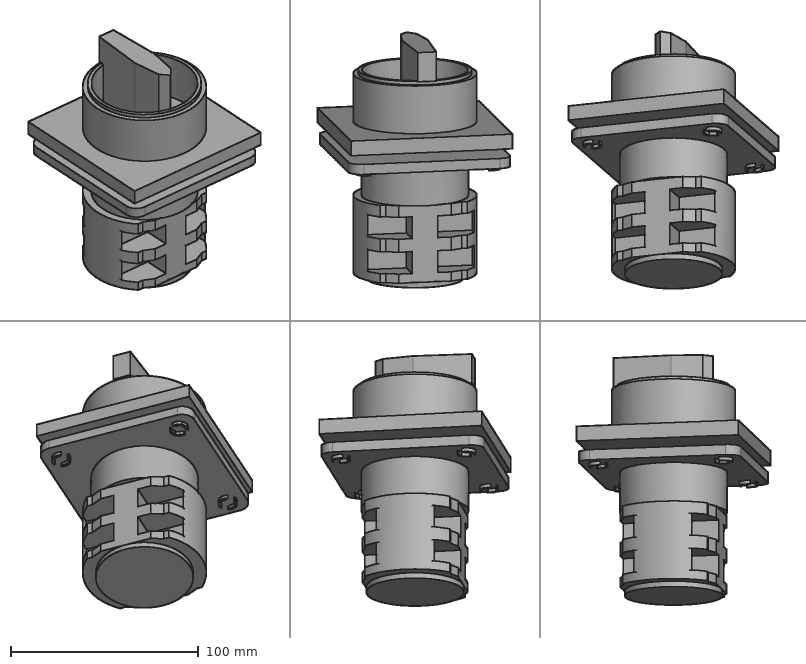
import cadquery as cq
import math


BASE_HEIGHT = 3.0
CONTACT_BLOCK_TOP = 45.2
MOUNT_PLATE_BOTTOM = 67.0
MOUNT_PLATE_TOP = 72.5
KNOB_PLATE_BOTTOM = 77.5
KNOB_PLATE_TOP = 85.5
COLLAR_TOP = 111.5
RIM_TOP = 113.5
HANDLE_TOP = 129.5

PLATE_SIDE = 88.0
MOUNT_CORNER_RADIUS = 7.0
NECK_RADIUS = 28.6
SHAFT_RADIUS = 6.5

BASE_RADIUS = 26.0
BLOCK_RADIUS = 33.0
FLAT_X = 26.0
FLAT_HALF_WIDTH = 14.4
SHOULDER_X = 23.0
SHOULDER_INNER_Y = 20.6
SHOULDER_OUTER_Y = math.sqrt(BLOCK_RADIUS ** 2 - SHOULDER_X ** 2)

WINDOW_INNER_X = 11.0
WINDOW_INNER_Y = 7.0
WINDOW_OUTER_Y = 29.0
WINDOW_HEIGHT = 11.9
WINDOW_PITCH = 19.0
LOWEST_WINDOW_Z = 8.0
WINDOW_ROWS = 2

SCREW_OFFSET = 34.0
SCREW_RADIUS = 5.0
SCREW_HEIGHT = 2.0
SCREW_HEX_DIAMETER = 8.5
SCREW_SLOT_WIDTH = 4.0

COLLAR_RADIUS = 33.0
RIM_RADIUS = 30.3
RECESS_RADIUS = 28.3
RECESS_DEPTH = 25.0
RECESS_FLOOR = RIM_TOP - RECESS_DEPTH
HANDLE_TAIL_X = -31.7
HANDLE_TAIL_HALF_WIDTH = 5.0
HANDLE_HALF_WIDTH = 6.9
HANDLE_SHOULDER_X = 16.7
HANDLE_SHOULDER_HALF_WIDTH = 4.3
HANDLE_TIP_X = 21.5


def disc(radius, bottom, top):
    """Cylinder on the switch axis between two levels."""
    return cq.Workplane("XY").workplane(offset=bottom).circle(radius).extrude(top - bottom)


def square_plate(bottom, top):
    """Square plate centred on the switch axis between two levels."""
    plate = cq.Workplane("XY").workplane(offset=bottom)
    return plate.rect(PLATE_SIDE, PLATE_SIDE).extrude(top - bottom)


def contact_block():
    """Round block with a stepped flat on each X side and rows of terminal windows."""
    block = (
        cq.Workplane("XY")
        .workplane(offset=BASE_HEIGHT)
        .moveTo(SHOULDER_X, SHOULDER_OUTER_Y)
        .threePointArc((0, BLOCK_RADIUS), (-SHOULDER_X, SHOULDER_OUTER_Y))
        .lineTo(-SHOULDER_X, SHOULDER_INNER_Y)
        .lineTo(-FLAT_X, FLAT_HALF_WIDTH)
        .lineTo(-FLAT_X, -FLAT_HALF_WIDTH)
        .lineTo(-SHOULDER_X, -SHOULDER_INNER_Y)
        .lineTo(-SHOULDER_X, -SHOULDER_OUTER_Y)
        .threePointArc((0, -BLOCK_RADIUS), (SHOULDER_X, -SHOULDER_OUTER_Y))
        .lineTo(SHOULDER_X, -SHOULDER_INNER_Y)
        .lineTo(FLAT_X, -FLAT_HALF_WIDTH)
        .lineTo(FLAT_X, FLAT_HALF_WIDTH)
        .lineTo(SHOULDER_X, SHOULDER_INNER_Y)
        .close()
        .extrude(CONTACT_BLOCK_TOP - BASE_HEIGHT)
    )
    window_length = BLOCK_RADIUS - WINDOW_INNER_X
    window_width = WINDOW_OUTER_Y - WINDOW_INNER_Y
    window_x = WINDOW_INNER_X + window_length / 2
    window_y = WINDOW_INNER_Y + window_width / 2
    for row in range(WINDOW_ROWS):
        windows = (
            cq.Workplane("XY")
            .workplane(offset=LOWEST_WINDOW_Z + row * WINDOW_PITCH)
            .rect(2 * window_x, 2 * window_y, forConstruction=True)
            .vertices()
            .rect(window_length, window_width)
            .extrude(WINDOW_HEIGHT)
        )
        block = block.cut(windows)
    return block


def screw_head(angle):
    """Screw head with a hexagon socket and a cross slot, on the diagonal at the given angle."""
    head = cq.Workplane("XY").circle(SCREW_RADIUS).extrude(SCREW_HEIGHT)
    socket = cq.Workplane("XY").polygon(6, SCREW_HEX_DIAMETER).extrude(SCREW_HEIGHT)
    slot = cq.Workplane("XY").rect(SCREW_SLOT_WIDTH, 2 * SCREW_RADIUS).extrude(SCREW_HEIGHT)
    head = head.cut(socket).cut(slot)
    head = head.translate((math.sqrt(2) * SCREW_OFFSET, 0, MOUNT_PLATE_BOTTOM - SCREW_HEIGHT))
    return head.rotate((0, 0, 0), (0, 0, 1), angle)


def mounting_plate():
    """Rounded square plate with a screw head under each corner."""
    plate = square_plate(MOUNT_PLATE_BOTTOM, MOUNT_PLATE_TOP)
    plate = plate.edges("|Z").fillet(MOUNT_CORNER_RADIUS)
    for angle in (45, 135, 225, 315):
        plate = plate.union(screw_head(angle))
    return plate


def handle():
    """Pointer-shaped prism rising from the level of the recess floor."""
    return (
        cq.Workplane("XY")
        .workplane(offset=RECESS_FLOOR)
        .moveTo(HANDLE_TAIL_X, -HANDLE_TAIL_HALF_WIDTH)
        .lineTo(0, -HANDLE_HALF_WIDTH)
        .lineTo(HANDLE_SHOULDER_X, -HANDLE_SHOULDER_HALF_WIDTH)
        .lineTo(HANDLE_TIP_X, 0)
        .lineTo(HANDLE_SHOULDER_X, HANDLE_SHOULDER_HALF_WIDTH)
        .lineTo(0, HANDLE_HALF_WIDTH)
        .lineTo(HANDLE_TAIL_X, HANDLE_TAIL_HALF_WIDTH)
        .close()
        .extrude(HANDLE_TOP - RECESS_FLOOR)
    )


def knob():
    """Square plate with a recessed collar and a handle whose tail rests on the rim."""
    body = square_plate(KNOB_PLATE_BOTTOM, KNOB_PLATE_TOP)
    body = body.union(disc(COLLAR_RADIUS, KNOB_PLATE_TOP, COLLAR_TOP))
    body = body.union(disc(RIM_RADIUS, COLLAR_TOP, RIM_TOP))
    recess = disc(RECESS_RADIUS, RECESS_FLOOR, RIM_TOP)
    handle_space = recess.union(disc(COLLAR_RADIUS, RIM_TOP, HANDLE_TOP))
    return body.cut(recess).union(handle().intersect(handle_space))


result = (
    disc(BASE_RADIUS, 0, BASE_HEIGHT)
    .union(contact_block())
    .union(disc(NECK_RADIUS, CONTACT_BLOCK_TOP, MOUNT_PLATE_BOTTOM))
    .union(mounting_plate())
    .union(disc(SHAFT_RADIUS, MOUNT_PLATE_TOP, KNOB_PLATE_BOTTOM))
    .union(knob())
)